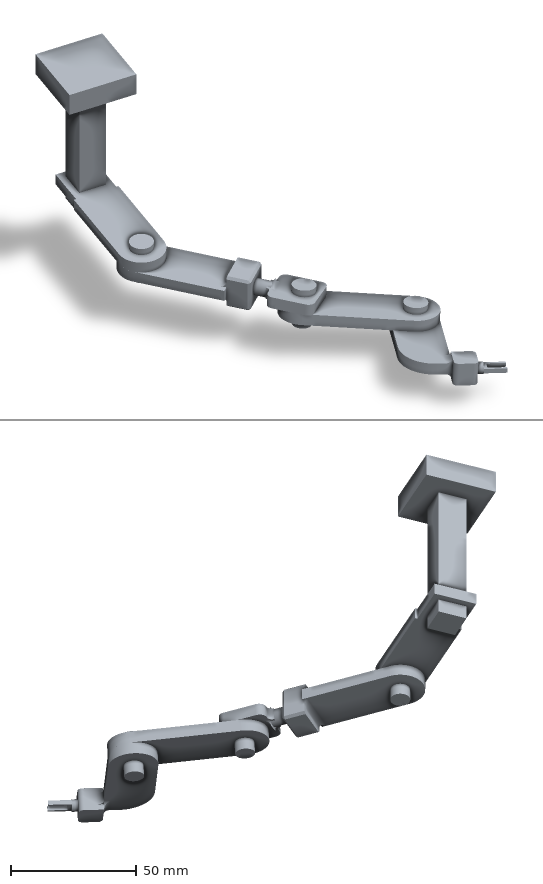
import cadquery as cq
import math

LINK_WIDTH = 20.0
LINK_THICKNESS = 5.0
END_RADIUS = LINK_WIDTH / 2
HALF_THICKNESS = LINK_THICKNESS / 2

SHOULDER_ANGLE = 44.0
ROLL_ANGLE = -8.5
ELBOW_ANGLE = 17.0
WRIST_ANGLE = -80.0

CAP_SIZE = 30.0
CAP_HEIGHT = 10.0
POST_SIZE = 12.0
POST_HEIGHT = 59.75
POST_DROP = 6.0

HEAD_SIZE = 18.0
FIRST_LINK_REACH = 49.0

PIN_DIAMETER = 8.0
PIN_HEAD_DIAMETER = 10.0
PIN_HEAD_HEIGHT = 3.0
PIN_TAIL = 5.0

SECOND_LINK_LENGTH = 38.5
ROLL_BLOCK_SIZE = 15.0
ROLL_BLOCK_LENGTH = 10.0
ROLL_BLOCK_CHAMFER = 1.0
BLEND_RADIUS = 2.5
LOWER_BLEND_RADIUS = 2.0

SHAFT_DIAMETER = 7.0
SHAFT_LENGTH = 7.2
NECK_WIDTH = 4.0
NECK_BLEND = 2.0
ROLL_PLATE_LENGTH = 20.0
ROLL_PLATE_CORNER = 3.0
ROLL_PIN_SETBACK = 7.2

ELBOW_LINK_REACH = 45.0

WRIST_STRAIGHT = 22.0
WRIST_BEND_RADIUS = 14.0
WRIST_BLOCK_SIZE = 10.0
WRIST_BLOCK_START = 31.0
WRIST_BLOCK_CORNER = 2.0

STEM_DIAMETER = 5.0
STEM_LENGTH = 2.5
PALM_WIDTH = 5.5
PALM_LENGTH = 1.5
FINGER_LENGTH = 8.0
FINGER_WIDTH = 1.0
FINGER_HEIGHT = 2.0


def frame(origin, turn):
    """Location at origin, turned about its own Z axis by the given angle."""
    return cq.Location(cq.Vector(*origin), cq.Vector(0, 0, 1), turn)


def slab(start, length, width, bottom, height):
    """Box along X from start, centred on Y, rising from bottom."""
    block = cq.Workplane().box(length, width, height, centered=(False, True, False))
    return block.translate((start, 0, bottom))


def disc(x, diameter, bottom, height):
    """Upright cylinder on the X axis."""
    return cq.Workplane().circle(diameter / 2).extrude(height).translate((x, 0, bottom))


def flare(end, left, right, radius, spread_left=True, spread_right=True):
    """Concave blend from a block's rear face at X = end down to a link's top face.

    The block spans Y from right to left. Where it spreads, the blend also widens towards its
    foot, so its rear and side curves meet in a mitre.
    """
    top = HALF_THICKNESS + radius
    curve = radius * math.sqrt(0.5)
    rear = (
        cq.Workplane("XZ", origin=(0, left + radius, 0))
        .moveTo(end - radius, HALF_THICKNESS)
        .threePointArc((end - radius + curve, top - curve), (end, top))
        .lineTo(end, HALF_THICKNESS)
        .close()
        .extrude(left - right + 2 * radius)
    )
    outline = cq.Workplane("YZ").workplane(offset=end - radius).moveTo(right, top).lineTo(left, top)
    if spread_left:
        outline = outline.threePointArc(
            (left + radius - curve, top - curve), (left + radius, HALF_THICKNESS))
    else:
        outline = outline.lineTo(left, HALF_THICKNESS)
    if spread_right:
        outline = outline.lineTo(right - radius, HALF_THICKNESS).threePointArc(
            (right - radius + curve, top - curve), (right, top))
    else:
        outline = outline.lineTo(right, HALF_THICKNESS)
    return rear.intersect(outline.close().extrude(radius))


def side_blend(wall_x, floor_y, radius):
    """Concave corner as thick as a link, between a floor facing +Y and a wall facing -X."""
    gap = radius * (1 - math.sqrt(0.5))
    return (
        cq.Workplane()
        .moveTo(wall_x - radius, floor_y)
        .threePointArc((wall_x - gap, floor_y + gap), (wall_x, floor_y + radius))
        .lineTo(wall_x, floor_y)
        .close()
        .extrude(HALF_THICKNESS, both=True)
    )


post = slab(-POST_SIZE / 2, POST_SIZE, POST_SIZE, -POST_DROP, POST_HEIGHT)
cap = slab(-CAP_SIZE / 2, CAP_SIZE, CAP_SIZE, POST_HEIGHT - POST_DROP, CAP_HEIGHT)
base = post.union(cap)

head_edge = HEAD_SIZE / 2
first_link = (
    slab(-head_edge, HEAD_SIZE, HEAD_SIZE, 0, LINK_THICKNESS)
    .union(slab(head_edge, FIRST_LINK_REACH - head_edge, LINK_WIDTH, 0, LINK_THICKNESS))
    .union(disc(FIRST_LINK_REACH, LINK_WIDTH, 0, LINK_THICKNESS))
    .cut(post)
    .cut(disc(FIRST_LINK_REACH, PIN_DIAMETER, 0, LINK_THICKNESS))
)


def hinge_pin():
    """Headed pin whose origin is midway through the two links it joins."""
    shank = disc(0, PIN_DIAMETER, -LINK_THICKNESS - PIN_TAIL, 2 * LINK_THICKNESS + PIN_TAIL)
    return shank.union(disc(0, PIN_HEAD_DIAMETER, LINK_THICKNESS, PIN_HEAD_HEIGHT))


def second_link():
    """Link along the roll axis X, centred on Z = 0, ending in the block that holds the roll shaft."""
    link = (
        slab(0, SECOND_LINK_LENGTH, LINK_WIDTH, -HALF_THICKNESS, LINK_THICKNESS)
        .union(disc(0, LINK_WIDTH, -HALF_THICKNESS, LINK_THICKNESS))
        .cut(disc(0, PIN_DIAMETER, -HALF_THICKNESS, LINK_THICKNESS))
    )
    block = (
        slab(SECOND_LINK_LENGTH, ROLL_BLOCK_LENGTH, ROLL_BLOCK_SIZE, -ROLL_BLOCK_SIZE / 2, ROLL_BLOCK_SIZE)
        .edges("|X or >X")
        .chamfer(ROLL_BLOCK_CHAMFER)
    )
    half_block = ROLL_BLOCK_SIZE / 2
    top_blend = flare(
        SECOND_LINK_LENGTH, half_block, -half_block, BLEND_RADIUS, spread_left=False, spread_right=False)
    bottom_blend = flare(SECOND_LINK_LENGTH, half_block, -half_block, LOWER_BLEND_RADIUS).mirror("XY")
    return link.union(block).union(top_blend).union(bottom_blend)


SHAFT_START = SECOND_LINK_LENGTH + ROLL_BLOCK_LENGTH
PLATE_START = SHAFT_START + SHAFT_LENGTH
ROLL_PIN_X = PLATE_START + ROLL_PLATE_LENGTH - ROLL_PIN_SETBACK


def roll_link():
    """Rounded plate on a shaft, X along the shaft, with concave blends where they meet."""
    plate = (
        slab(PLATE_START, ROLL_PLATE_LENGTH, LINK_WIDTH, -HALF_THICKNESS, LINK_THICKNESS)
        .edges("|Z")
        .fillet(ROLL_PLATE_CORNER)
    )
    shaft = cq.Workplane("YZ").workplane(offset=SHAFT_START).circle(SHAFT_DIAMETER / 2).extrude(SHAFT_LENGTH)
    neck_blend = flare(-PLATE_START, NECK_WIDTH / 2, -NECK_WIDTH / 2, NECK_BLEND).mirror("YZ")
    neck = slab(PLATE_START - NECK_BLEND, NECK_BLEND, SHAFT_DIAMETER, -HALF_THICKNESS, LINK_THICKNESS)
    neck_side = side_blend(-SHAFT_DIAMETER / 2, -PLATE_START, NECK_BLEND).rotate((0, 0, 0), (0, 0, 1), 90)
    link = plate.union(shaft).union(neck)
    for blend in (neck_blend, neck_blend.mirror("XY"), neck_side, neck_side.mirror("XZ")):
        link = link.union(blend)
    return link.cut(disc(ROLL_PIN_X, PIN_DIAMETER, -HALF_THICKNESS, LINK_THICKNESS))


def elbow_link():
    """Straight link with a round end and a pin hole at each joint."""
    link = slab(0, ELBOW_LINK_REACH, LINK_WIDTH, -HALF_THICKNESS, LINK_THICKNESS)
    joints = (0, ELBOW_LINK_REACH)
    for x in joints:
        link = link.union(disc(x, LINK_WIDTH, -HALF_THICKNESS, LINK_THICKNESS))
    for x in joints:
        link = link.cut(disc(x, PIN_DIAMETER, -HALF_THICKNESS, LINK_THICKNESS))
    return link


WRIST_END = WRIST_STRAIGHT + WRIST_BEND_RADIUS
BLOCK_CENTRE = WRIST_BLOCK_START + WRIST_BLOCK_SIZE / 2


def wrist_link():
    """Link from the last pin that bends to a block facing +Y."""
    bend_mid = WRIST_BEND_RADIUS * math.sqrt(0.5)
    bend_y = WRIST_BEND_RADIUS - END_RADIUS
    link = (
        cq.Workplane()
        .moveTo(0, END_RADIUS)
        .threePointArc((-END_RADIUS, 0), (0, -END_RADIUS))
        .lineTo(WRIST_STRAIGHT, -END_RADIUS)
        .threePointArc((WRIST_STRAIGHT + bend_mid, bend_y - bend_mid), (WRIST_END, bend_y))
        .lineTo(WRIST_END, END_RADIUS)
        .close()
        .extrude(HALF_THICKNESS, both=True)
        .cut(disc(0, PIN_DIAMETER, -HALF_THICKNESS, LINK_THICKNESS))
    )
    block = (
        cq.Workplane()
        .box(WRIST_BLOCK_SIZE, WRIST_BLOCK_SIZE, WRIST_BLOCK_SIZE)
        .edges("|Z and (>X or >Y)")
        .fillet(WRIST_BLOCK_CORNER)
        .translate((BLOCK_CENTRE, END_RADIUS + WRIST_BLOCK_SIZE / 2, 0))
    )
    block_left = -WRIST_BLOCK_START
    top_blend = (
        flare(END_RADIUS, block_left, -WRIST_END, BLEND_RADIUS, spread_right=False)
        .rotate((0, 0, 0), (0, 0, 1), 90)
    )
    corner_blend = side_blend(WRIST_BLOCK_START, END_RADIUS, BLEND_RADIUS)
    for blend in (corner_blend, top_blend, top_blend.mirror("XY")):
        block = block.union(blend)
    return link.union(block)


def gripper():
    """Gripper with X pointing out along the stem."""
    stem = cq.Workplane("YZ").circle(STEM_DIAMETER / 2).extrude(STEM_LENGTH)
    body = stem.union(slab(STEM_LENGTH, PALM_LENGTH, PALM_WIDTH, -FINGER_HEIGHT / 2, FINGER_HEIGHT))
    finger_y = (PALM_WIDTH - FINGER_WIDTH) / 2
    finger = slab(STEM_LENGTH + PALM_LENGTH, FINGER_LENGTH, FINGER_WIDTH, -FINGER_HEIGHT / 2, FINGER_HEIGHT)
    for side in (-1, 1):
        body = body.union(finger.translate((0, side * finger_y, 0)))
    return body


shoulder = frame((FIRST_LINK_REACH, 0, 0), SHOULDER_ANGLE)
second_frame = shoulder * cq.Location(cq.Vector(0, 0, -HALF_THICKNESS))
roll_frame = second_frame * cq.Location(cq.Vector(0, 0, 0), cq.Vector(1, 0, 0), ROLL_ANGLE)
elbow_frame = roll_frame * frame((ROLL_PIN_X, 0, -LINK_THICKNESS), ELBOW_ANGLE)
wrist_frame = elbow_frame * frame((ELBOW_LINK_REACH, 0, -LINK_THICKNESS), WRIST_ANGLE)
gripper_frame = wrist_frame * frame((BLOCK_CENTRE, END_RADIUS + WRIST_BLOCK_SIZE, 0), 90)

to_interface = cq.Location(cq.Vector(0, 0, HALF_THICKNESS))
pin_joints = (shoulder, elbow_frame * to_interface, wrist_frame * to_interface)
pins = [hinge_pin().val().moved(joint) for joint in pin_joints]

result = cq.Compound.makeCompound([
    base.val(),
    first_link.val(),
    second_link().val().moved(second_frame),
    roll_link().val().moved(roll_frame),
    elbow_link().val().moved(elbow_frame),
    wrist_link().val().moved(wrist_frame),
    gripper().val().moved(gripper_frame),
    *pins,
])